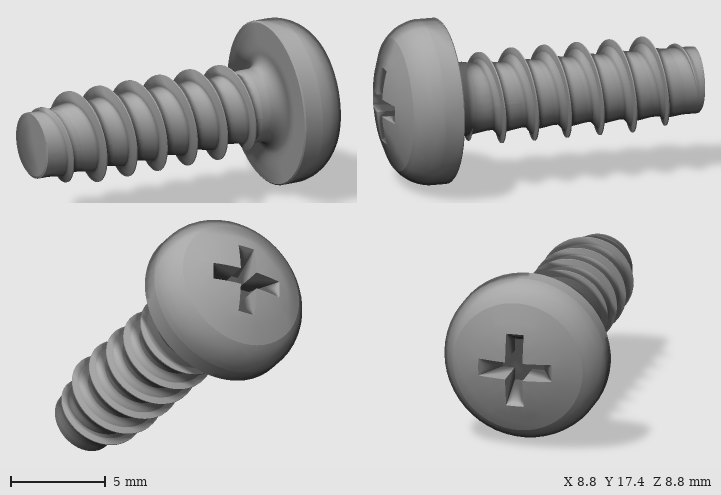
import cadquery as cq
import math


head_radius = 4.4
head_height = 3.43
seat_edge_chamfer = 0.07
rim_top = 1.06
dome_edge_radius = 3.54
dome_edge_height = 2.59
shoulder_mid_radius = 4.08
shoulder_mid_height = 2.0
dome_rise = head_height - dome_edge_height
dome_sphere_radius = (dome_edge_radius**2 + dome_rise**2) / (2 * dome_rise)

wing_width = 0.95
wing_edge_drop = 0.26
recess_depth = 2.0
recess_flank_angle = 26.5

shank_length = 14.0
end_face_radius = 1.64
end_edge_height = 0.05
tip_rise = 0.04
neck_radius = 1.96
neck_fillet = 0.7
neck_length = 1.25
core_radius = 1.77
relief_end = 2.4

pitch = 1.8
crest_radius = 2.5
crest_width = 0.06
crest_at_x = -3.655
flank_break_radius = 2.15
flank_break_rise = 0.1
swell_radius = 1.92
swell_start = 0.2
swell_end_radius = 1.75
swell_end = 1.22
swell_sink_share = 0.25
buried_radius = 1.65
buried_flank_rise = 0.53
runout_start = -11.5
runout_end = -14.6
runout_sink = 1.05
lead_in_end = -2.75
lead_in_start = -0.9
lead_in_sink = 0.35

ridge_section = [
    (buried_radius, buried_flank_rise, 1),
    (flank_break_radius, flank_break_rise, 1),
    (crest_radius, crest_width / 2, 1),
    (crest_radius, -crest_width / 2, 1),
    (swell_radius, -swell_start, swell_sink_share),
    (swell_end_radius, -swell_end, 0),
    (buried_radius, -swell_end, 0),
]


def make_head():
    """Pan head with the neck fillet and the tapered core of the shank, as one revolved body."""
    dome_mid_radius = dome_edge_radius / 2
    dome_center_height = head_height - dome_sphere_radius
    dome_mid_height = dome_center_height + math.sqrt(dome_sphere_radius**2 - dome_mid_radius**2)
    fillet_inset = neck_fillet * (1 - math.sqrt(0.5))
    profile = (
        cq.Workplane("XZ")
        .moveTo(0, head_height)
        .threePointArc((dome_mid_radius, dome_mid_height), (dome_edge_radius, dome_edge_height))
        .threePointArc((shoulder_mid_radius, shoulder_mid_height), (head_radius, rim_top))
        .lineTo(head_radius, seat_edge_chamfer)
        .lineTo(head_radius - seat_edge_chamfer, 0)
        .lineTo(neck_radius + neck_fillet, 0)
        .threePointArc((neck_radius + fillet_inset, -fillet_inset), (neck_radius, -neck_fillet))
        .lineTo(neck_radius, -neck_length)
        .lineTo(core_radius, -relief_end)
        .lineTo(core_radius, -shank_length + end_edge_height)
        .lineTo(end_face_radius, -shank_length)
        .lineTo(0, -shank_length - tip_rise)
        .close()
    )
    return profile.revolve(360, (0, 0, 0), (0, 1, 0))


def make_recess():
    """Two crossed wings that narrow with depth."""
    edge_radius = math.sqrt(dome_sphere_radius**2 - (dome_sphere_radius - wing_edge_drop)**2)
    slope = math.tan(math.radians(recess_flank_angle))
    top_radius = edge_radius + wing_edge_drop * slope
    floor_radius = top_radius - recess_depth * slope
    floor_height = head_height - recess_depth
    wing = (
        cq.Workplane("XZ")
        .polyline([
            (-top_radius, head_height),
            (top_radius, head_height),
            (floor_radius, floor_height),
            (-floor_radius, floor_height),
        ])
        .close()
        .extrude(wing_width / 2, both=True)
    )
    return wing.union(wing.rotate((0, 0, 0), (0, 0, 1), 90))


def ridge_piece(bottom, top, sink_bottom, sink_top):
    """Ridge between two crest heights, sunk into the core by the given amount at each end."""
    rise = top - bottom

    helices = []
    for radius, height, share in ridge_section:
        slope = math.atan2(share * (sink_bottom - sink_top), rise)
        stretch = 1 / math.cos(slope)
        cone_angle = 360 if slope == 0 else math.degrees(slope)
        helix = cq.Wire.makeHelix(
            pitch * stretch, rise * stretch, radius - share * sink_bottom,
            center=cq.Vector(0, 0, bottom + height), angle=cone_angle,
        )
        helices.append(helix.Edges()[0])

    next_helices = helices[1:] + helices[:1]
    faces = [cq.Face.makeRuledSurface(a, b) for a, b in zip(helices, next_helices)]
    for end in (0, 1):
        corners = [helix.positionAt(end) for helix in helices]
        faces.append(cq.Face.makeFromWires(cq.Wire.makePolygon(corners, close=True)))
    piece = cq.Solid.makeSolid(cq.Shell.makeShell(faces))
    piece = cq.Workplane(piece.fix())
    turn = 360 * (bottom - crest_at_x) / pitch
    return piece.rotate((0, 0, 0), (0, 0, 1), turn)


def make_thread():
    """Ridge with its run-out and lead-in, kept between the neck and the end of the shank."""
    ridge = (
        ridge_piece(runout_end, runout_start, runout_sink, 0)
        .union(ridge_piece(runout_start, lead_in_end, 0, 0))
        .union(ridge_piece(lead_in_end, lead_in_start, 0, lead_in_sink))
    )
    threaded_zone = (
        cq.Workplane("XY")
        .workplane(offset=-shank_length)
        .circle(head_radius)
        .extrude(shank_length - neck_length)
    )
    return ridge.intersect(threaded_zone)


screw = make_head().cut(make_recess()).union(make_thread())
result = screw.rotate((0, 0, 0), (1, 0, 0), -90)